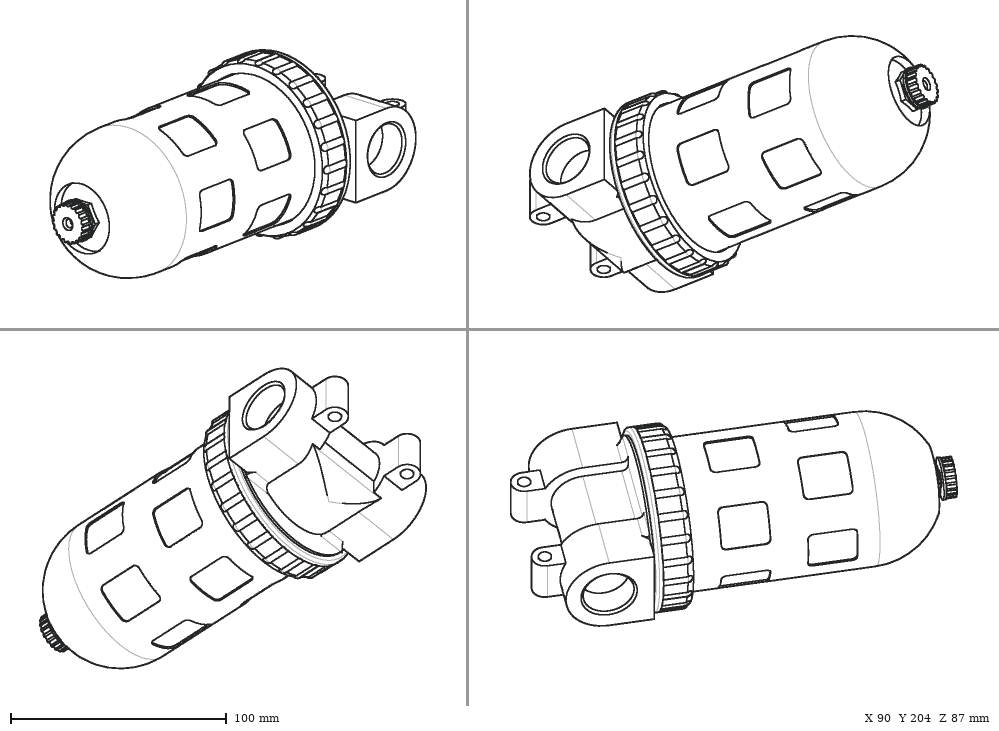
import cadquery as cq
import math


head_length = 90.0
head_radius = 20.5
waist_length = 37.5
waist_radius = 14.9
head_face_y = -21.5
flange_diameter = 80.0
flange_thickness = 1.2
flange_fillet = 3.0
flange_fillet_length = 66.5
boss_radius = 29.2
boss_edge_radius = 11.5
port_diameter = 24.0
port_chamfer = 1.2
port_depth = 13.3

lug_width = 12.5
lug_height = 20.5
lug_hole_diameter = 6.1
lug_tip_y = 32.6

ring_diameter = 87.0
ring_bore_diameter = 73.5
ring_length = 18.0
ring_lip_length = 3.5
ring_lip_fillet = 1.5
ring_grip_radius = 42.6
ring_end_bevel_length = 2.9
ring_end_bevel_depth = 1.2
grip_rib_count = 24
grip_rib_radius = 2.5

bowl_diameter = 72.5
dome_start_y = -129.5
dome_end_diameter = 34.0
inner_dome_radius = 32.2
window_floor_diameter = 70.5
window_count = 6
window_width = 20.5
window_length = 23.3
window_corner_radius = 2.5
upper_windows_y = -66.7
lower_windows_y = -107.5

drain_end_y = -171.4
hex_start_y = -159.1
hex_end_y = -163.0
hex_across_corners = 19.2
collar_diameter = 14.0
collar_thickness = 1.0
stem_diameter = 8.0
knob_flange_diameter = 20.0
knob_flange_thickness = 1.2
knob_length = 6.3
knob_diameter = 19.2
knob_flute_count = 20
knob_flute_diameter = 1.8
drain_hole_diameter = 4.0
drain_hole_mouth_diameter = 6.1
drain_hole_depth = 4.0

flange_face_y = head_face_y - flange_thickness
ring_end_y = flange_face_y - ring_length
bowl_radius = bowl_diameter / 2
dome_end_y = dome_start_y - math.sqrt(bowl_radius**2 - (dome_end_diameter / 2) ** 2)
lug_offset = (waist_length + lug_width) / 2
knob_top_y = drain_end_y + knob_length


def rod_y(diameter, start_y, end_y):
    """Cylinder on the bowl axis from start_y down to end_y."""
    return cq.Workplane("XZ", origin=(0, start_y, 0)).circle(diameter / 2).extrude(start_y - end_y)


def rounded_bar(radius, length):
    """Bar along X with a round back and a flat front face."""
    return (
        cq.Workplane("YZ")
        .moveTo(head_face_y, -radius)
        .lineTo(0, -radius)
        .threePointArc((radius, 0), (0, radius))
        .lineTo(head_face_y, radius)
        .close()
        .extrude(length / 2, both=True)
    )


def flange_fillet_strip(flat_z, length, end_setback):
    """Concave fillet between the flat at flat_z and the flange."""
    start_y = head_face_y + flange_fillet
    strip = (
        cq.Workplane("YZ")
        .moveTo(start_y, flat_z)
        .radiusArc((head_face_y, flat_z + flange_fillet), flange_fillet)
        .lineTo(head_face_y, flat_z)
        .close()
        .extrude(length / 2, both=True)
    )
    outline = (
        cq.Workplane("XY")
        .polyline([
            (-length / 2, head_face_y),
            (length / 2, head_face_y),
            (length / 2 - end_setback, start_y),
            (-length / 2 + end_setback, start_y),
        ])
        .close()
        .extrude(flat_z + flange_fillet)
    )
    return strip.intersect(outline)


def belly_boss():
    """Half-round boss under the head, its rear edge cut to an arc."""
    half_round = (
        cq.Workplane("XZ", origin=(0, boss_edge_radius, 0))
        .moveTo(-boss_radius, 0)
        .threePointArc((0, -boss_radius), (boss_radius, 0))
        .close()
        .extrude(boss_edge_radius - head_face_y)
    )
    side_profile = (
        cq.Workplane("YZ")
        .moveTo(head_face_y, -boss_radius)
        .lineTo(0, -boss_radius)
        .radiusArc((boss_edge_radius, boss_edge_radius - boss_radius), -boss_edge_radius)
        .lineTo(boss_edge_radius, 0)
        .lineTo(head_face_y, 0)
        .close()
        .extrude(boss_radius, both=True)
    )
    return half_round.intersect(side_profile)


def lug(center_x):
    """Mounting lug with a round tip, reaching back to the port axis."""
    tip_center_y = lug_tip_y - lug_width / 2
    plate = (
        cq.Workplane("XY")
        .moveTo(center_x - lug_width / 2, 0)
        .lineTo(center_x - lug_width / 2, tip_center_y)
        .threePointArc((center_x, lug_tip_y), (center_x + lug_width / 2, tip_center_y))
        .lineTo(center_x + lug_width / 2, 0)
        .close()
        .extrude(lug_height / 2, both=True)
    )
    hole = (
        cq.Workplane("XY")
        .center(center_x, tip_center_y)
        .circle(lug_hole_diameter / 2)
        .extrude(lug_height, both=True)
    )
    return plate.cut(hole)


def port(side):
    """Blind port with a chamfered mouth on the end at +X (side 1) or -X (side -1)."""
    mouth_x = head_length / 2
    floor_x = mouth_x - port_depth
    radius = port_diameter / 2
    return (
        cq.Workplane("XY")
        .polyline([
            (side * floor_x, 0),
            (side * floor_x, radius),
            (side * (mouth_x - port_chamfer), radius),
            (side * mouth_x, radius + port_chamfer),
            (side * mouth_x, 0),
        ])
        .close()
        .revolve(360, (0, 0, 0), (1, 0, 0))
    )


def make_head():
    between_port_ends = cq.Workplane("XY").box(waist_length, 4 * head_radius, 4 * head_radius)
    port_ends = rounded_bar(head_radius, head_length).cut(between_port_ends)
    head = rounded_bar(waist_radius, waist_length).union(port_ends).union(belly_boss())
    head = head.union(rod_y(flange_diameter, head_face_y, flange_face_y))
    end_fillet = flange_fillet_strip(head_radius, flange_fillet_length, flange_fillet).cut(between_port_ends)
    waist_fillet = flange_fillet_strip(waist_radius, waist_length, 0)
    for fillet in (end_fillet, waist_fillet):
        head = head.union(fillet).union(fillet.mirror("XY"))
    for side in (-1, 1):
        head = head.union(lug(side * lug_offset)).cut(port(side))
    return head


def grip_rib():
    """Rib at +Z with a rounded nose, ending at the lip."""
    center_z = ring_diameter / 2 - grip_rib_radius
    nose_y = ring_end_y + ring_end_bevel_length
    lip_y = flange_face_y - ring_lip_length
    rib = (
        cq.Workplane("XZ", origin=(0, lip_y, 0))
        .center(0, center_z)
        .circle(grip_rib_radius)
        .extrude(lip_y - nose_y)
    )
    nose = cq.Workplane("XY", origin=(0, nose_y, center_z)).sphere(grip_rib_radius)
    return rib.union(nose)


def make_clamp_ring():
    lip_y = flange_face_y - ring_lip_length
    lip = rod_y(ring_diameter, flange_face_y, lip_y).faces(">Y").edges().fillet(ring_lip_fillet)
    bevel_start_y = ring_end_y + ring_end_bevel_length
    grip_profile = [
        (0, lip_y),
        (ring_grip_radius, lip_y),
        (ring_grip_radius, bevel_start_y),
        (ring_grip_radius - ring_end_bevel_depth, ring_end_y),
        (0, ring_end_y),
    ]
    grip = cq.Workplane("XY").polyline(grip_profile).close().revolve(360, (0, 0, 0), (0, 1, 0))
    ring = lip.union(grip)
    rib = grip_rib()
    for i in range(grip_rib_count):
        ring = ring.union(rib.rotate((0, 0, 0), (0, 1, 0), i * 360 / grip_rib_count))
    return ring.cut(rod_y(ring_bore_diameter, flange_face_y, ring_end_y))


def bowl_shell():
    """Cylinder closed by a dome that is cut off flat at the drain."""
    middle_angle = math.asin(dome_end_diameter / bowl_diameter) / 2 + math.pi / 4
    dome_middle = (
        bowl_radius * math.sin(middle_angle),
        dome_start_y - bowl_radius * math.cos(middle_angle),
    )
    return (
        cq.Workplane("XY")
        .moveTo(0, flange_face_y)
        .lineTo(bowl_radius, flange_face_y)
        .lineTo(bowl_radius, dome_start_y)
        .threePointArc(dome_middle, (dome_end_diameter / 2, dome_end_y))
        .lineTo(0, dome_end_y)
        .close()
        .revolve(360, (0, 0, 0), (0, 1, 0))
    )


def drain_opening():
    """Round opening in the dome tip, with the inner dome bulging at its bottom."""
    opening = rod_y(dome_end_diameter, dome_start_y, dome_end_y)
    inner_dome = cq.Workplane("XY", origin=(0, dome_start_y, 0)).sphere(inner_dome_radius)
    return opening.cut(inner_dome)


def window(center_y, angle):
    """Shallow rounded window with a floor concentric to the bowl, turned from +Z about Y."""
    block = (
        cq.Workplane("XY")
        .box(window_width, window_length, bowl_diameter)
        .edges("|Z")
        .fillet(window_corner_radius)
        .translate((0, center_y, bowl_radius))
    )
    core = rod_y(window_floor_diameter, center_y + window_length, center_y - window_length)
    return block.cut(core).rotate((0, 0, 0), (0, 1, 0), angle)


def drain():
    """Hexagon, collar, stem and fluted knob with a chamfered hole in its end."""
    hexagon = (
        cq.Workplane("XZ", origin=(0, hex_start_y, 0))
        .polygon(6, hex_across_corners)
        .extrude(hex_start_y - hex_end_y)
    )
    body = hexagon.union(rod_y(collar_diameter, hex_end_y, hex_end_y - collar_thickness))
    body = body.union(rod_y(stem_diameter, hex_end_y, knob_top_y))
    body = body.union(rod_y(knob_flange_diameter, knob_top_y, knob_top_y - knob_flange_thickness))
    grip = rod_y(knob_diameter, knob_top_y - knob_flange_thickness, drain_end_y)
    flutes = (
        cq.Workplane("XZ", origin=(0, knob_top_y - knob_flange_thickness, 0))
        .polarArray(knob_diameter / 2, 0, 360, knob_flute_count)
        .circle(knob_flute_diameter / 2)
        .extrude(knob_length)
    )
    mouth_depth = (drain_hole_mouth_diameter - drain_hole_diameter) / 2
    hole = (
        cq.Workplane("XY")
        .polyline([
            (0, drain_end_y),
            (drain_hole_mouth_diameter / 2, drain_end_y),
            (drain_hole_diameter / 2, drain_end_y + mouth_depth),
            (drain_hole_diameter / 2, drain_end_y + drain_hole_depth),
            (0, drain_end_y + drain_hole_depth),
        ])
        .close()
        .revolve(360, (0, 0, 0), (0, 1, 0))
    )
    return body.union(grip.cut(flutes)).cut(hole)


def make_bowl():
    bowl = bowl_shell().cut(drain_opening())
    window_step = 360 / window_count
    for i in range(window_count):
        bowl = bowl.cut(window(upper_windows_y, i * window_step))
        bowl = bowl.cut(window(lower_windows_y, (i + 0.5) * window_step))
    return bowl.union(drain())


head = make_head()
clamp_ring = make_clamp_ring()
bowl = make_bowl()

result = cq.Compound.makeCompound([head.val(), clamp_ring.val(), bowl.val()])